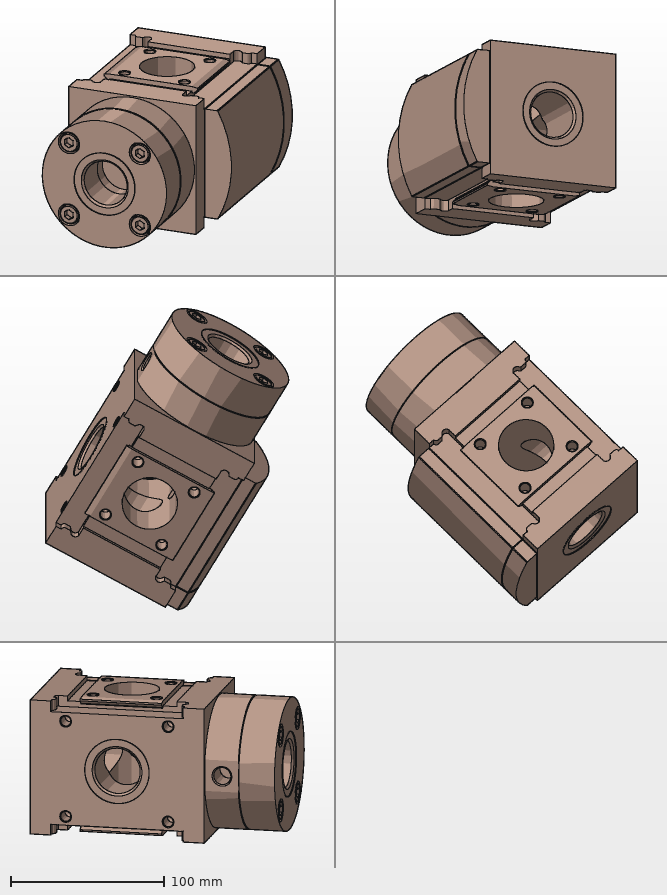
import cadquery as cq
import math

BLOCK_SIZE = 90.0
HALF_BLOCK = BLOCK_SIZE / 2
BLOCK_BACK = 57.9
BLOCK_FRONT = -58.4

CROSS_BORE_DIAMETER = 36.0
PORT_DIAMETER = 30.3
PORT_MOUTH_DIAMETER = 33.3
PORT_RING_DIAMETER = 43.0
PORT_RING_DEPTH = 0.7
SIDE_PASSAGE_DIAMETER = 11.4
FRONT_PORT_DEPTH = 32.6

ROUND_DIAMETER = 88.0
OVERALL_FRONT = -105.1
FLANGE_LENGTH = 24.0
NECK_FRONT = OVERALL_FRONT + FLANGE_LENGTH
NECK_CHAMFER = 0.5
FLAT_WIDTH = 21.0
FLAT_X = -math.sqrt((ROUND_DIAMETER / 2) ** 2 - (FLAT_WIDTH / 2) ** 2)
GAUGE_PORT_DIAMETER = 11.4
GAUGE_PORT_MOUTH_DIAMETER = 13.2
GAUGE_PORT_DEPTH = 19.5
GAUGE_PORT_Y = (BLOCK_FRONT + NECK_FRONT) / 2

SCREW_OFFSET = 25.1
SCREW_POCKET_DIAMETER = 15.0
SCREW_POCKET_DEPTH = 6.5
SCREW_HEAD_DIAMETER = 13.0
SCREW_HEAD_CHAMFER = 0.7
SOCKET_ACROSS_FLATS = 6.0
SOCKET_DEPTH = 4.0
HEXAGON_SIDES = 6
HEXAGON_TURN = 30.0

TAP_DIAMETER = 6.7
TAP_MOUTH_DIAMETER = 7.8
TAP_DEPTH = 13.0
TAP_TIP_HEIGHT = 2.0
TOP_TAP_OFFSET = 21.2
SIDE_TAP_Y = 34.2
SIDE_TAP_Z = 32.0

SLOT_DEPTH = 7.2
SLOT_INNER_X = 29.0
SLOT_HALF_LENGTH = 44.3
SLOT_LAND_Y = 42.2
SLOT_LAND_START_X = 35.4
SLOT_SHOULDER_X = 41.0
SLOT_LOBE_Y = 44.8
SLOT_LOBE_START_Y = 42.7
SLOT_LOBE_END_X = 34.5
SLOT_LOBE_END_Y = 43.2
RECESS_DEPTH = 3.3
RECESS_HALF_LENGTH = 36.5
PAD_HALF_LENGTH = 27.2
PAD_HALF_WIDTH = 33.1
PAD_FOOT_HALF_WIDTH = 31.0
PAD_SLOPE_DROP = 0.7
PAD_EDGE_DROP = 1.8
PAD_UNDERCUT_DROP = 3.9
PAD_FOOT_DROP = 4.4

COVER_GAP = 0.5
COVER_HALF_HEIGHT = 37.8
COVER_SHOULDER_X = 54.0
COVER_ARCH_X = 54.6
COVER_EDGE_DROP = 0.3
COVER_CROWN_X = 64.2
COVER_FRONT = -44.3
COVER_GROOVE_WIDTH = 0.5
COVER_GROOVE_DEPTH = 0.5


def round_bar(diameter, start, length, direction):
    """A cylinder from the point `start` along `direction`."""
    return cq.Workplane(cq.Solid.makeCylinder(
        diameter / 2, length, cq.Vector(*start), cq.Vector(*direction)))


def cone(large, small, start, length, direction):
    """A cone that tapers from diameter `large` at `start` to diameter `small`."""
    return cq.Workplane(cq.Solid.makeCone(
        large / 2, small / 2, length, cq.Vector(*start), cq.Vector(*direction)))


def chamfered_hole(diameter, mouth, start, depth, direction):
    """A hole with a 45 degree chamfer at its mouth, as a tool to cut."""
    chamfer_depth = (mouth - diameter) / 2
    hole = round_bar(diameter, start, depth, direction)
    return hole.union(cone(mouth, diameter, start, chamfer_depth, direction))


def port(start, depth, direction):
    """A main port: a chamfered bore inside a shallow sealing ring."""
    ring = round_bar(PORT_RING_DIAMETER, start, PORT_RING_DEPTH, direction)
    mouth = tuple(s + PORT_RING_DEPTH * d for s, d in zip(start, direction))
    bore = chamfered_hole(PORT_DIAMETER, PORT_MOUTH_DIAMETER, mouth, depth - PORT_RING_DEPTH, direction)
    return ring.union(bore)


def tapped_hole(start, direction):
    """A blind chamfered hole with a drill point."""
    hole = chamfered_hole(TAP_DIAMETER, TAP_MOUTH_DIAMETER, start, TAP_DEPTH, direction)
    bottom = tuple(s + TAP_DEPTH * d for s, d in zip(start, direction))
    return hole.union(cone(TAP_DIAMETER, 0, bottom, TAP_TIP_HEIGHT, direction))


def side_slot():
    """The tool for the slot along the +X edge of the top face."""
    lobe_x = (SLOT_INNER_X + SLOT_LOBE_END_X) / 2
    corner_radius = SLOT_HALF_LENGTH - SLOT_LAND_Y
    corner_x = SLOT_SHOULDER_X - corner_radius
    half_way = corner_radius * math.sqrt(0.5)
    half = (
        cq.Workplane("XY", origin=(0, 0, HALF_BLOCK - SLOT_DEPTH))
        .moveTo(SLOT_INNER_X, 0)
        .lineTo(SLOT_INNER_X, SLOT_LOBE_START_Y)
        .threePointArc((lobe_x, SLOT_LOBE_Y), (SLOT_LOBE_END_X, SLOT_LOBE_END_Y))
        .lineTo(SLOT_LAND_START_X, SLOT_LAND_Y)
        .lineTo(corner_x, SLOT_LAND_Y)
        .threePointArc(
            (corner_x + half_way, SLOT_HALF_LENGTH - half_way),
            (SLOT_SHOULDER_X, SLOT_HALF_LENGTH))
        .lineTo(HALF_BLOCK, SLOT_HALF_LENGTH)
        .lineTo(HALF_BLOCK, 0)
        .close()
        .extrude(SLOT_DEPTH)
    )
    return half.union(half.mirror("XZ"))


def pad():
    """The dovetail pad that stands in the recess and overhangs both side slots."""
    right_side = [
        (SLOT_INNER_X, HALF_BLOCK),
        (PAD_HALF_WIDTH, HALF_BLOCK - PAD_SLOPE_DROP),
        (PAD_HALF_WIDTH, HALF_BLOCK - PAD_EDGE_DROP),
        (PAD_FOOT_HALF_WIDTH, HALF_BLOCK - PAD_UNDERCUT_DROP),
        (PAD_FOOT_HALF_WIDTH, HALF_BLOCK - PAD_FOOT_DROP),
    ]
    left_side = [(-x, z) for x, z in reversed(right_side)]
    return (
        cq.Workplane("XZ", origin=(0, PAD_HALF_LENGTH, 0))
        .polyline(right_side + left_side)
        .close()
        .extrude(2 * PAD_HALF_LENGTH)
    )


def connector_cut():
    """Everything removed from the top face around the pad."""
    recess = cq.Workplane("XY").box(
        2 * SLOT_INNER_X, 2 * RECESS_HALF_LENGTH, RECESS_DEPTH
    ).translate((0, 0, HALF_BLOCK - RECESS_DEPTH / 2))
    slot = side_slot()
    return recess.union(slot).union(slot.mirror("YZ")).cut(pad())


def make_neck():
    """The round neck with its flat and a chamfered front rim."""
    length = BLOCK_FRONT - NECK_FRONT
    neck = round_bar(ROUND_DIAMETER, (0, BLOCK_FRONT, 0), length, (0, -1, 0))
    neck = neck.faces("<Y").chamfer(NECK_CHAMFER)
    beyond_flat = cq.Workplane("XY").box(
        ROUND_DIAMETER, length, ROUND_DIAMETER
    ).translate((FLAT_X - ROUND_DIAMETER / 2, GAUGE_PORT_Y, 0))
    return neck.cut(beyond_flat)


def make_housing():
    """The block with its neck, connector contours, bores and tapped holes."""
    block_length = BLOCK_BACK - BLOCK_FRONT
    housing = cq.Workplane("XY").box(BLOCK_SIZE, block_length, BLOCK_SIZE)
    housing = housing.translate((0, (BLOCK_BACK + BLOCK_FRONT) / 2, 0)).union(make_neck())

    top_cut = connector_cut()
    housing = housing.cut(top_cut).cut(top_cut.mirror("XY"))

    housing = housing.cut(round_bar(CROSS_BORE_DIAMETER, (0, 0, -HALF_BLOCK), BLOCK_SIZE, (0, 0, 1)))
    housing = housing.cut(port((-HALF_BLOCK, 0, 0), HALF_BLOCK, (1, 0, 0)))
    housing = housing.cut(port((0, BLOCK_BACK, 0), BLOCK_BACK, (0, -1, 0)))
    housing = housing.cut(round_bar(SIDE_PASSAGE_DIAMETER, (0, 0, 0), HALF_BLOCK, (1, 0, 0)))
    front_port_end = FRONT_PORT_DEPTH - FLANGE_LENGTH
    housing = housing.cut(round_bar(PORT_DIAMETER, (0, NECK_FRONT, 0), front_port_end, (0, 1, 0)))
    housing = housing.cut(chamfered_hole(
        GAUGE_PORT_DIAMETER, GAUGE_PORT_MOUTH_DIAMETER,
        (FLAT_X, GAUGE_PORT_Y, 0), GAUGE_PORT_DEPTH, (1, 0, 0)))

    for side_a in (-1, 1):
        for side_b in (-1, 1):
            housing = housing.cut(tapped_hole(
                (-HALF_BLOCK, side_a * SIDE_TAP_Y, side_b * SIDE_TAP_Z), (1, 0, 0)))
            for face in (-1, 1):
                housing = housing.cut(tapped_hole(
                    (side_a * TOP_TAP_OFFSET, side_b * TOP_TAP_OFFSET, face * HALF_BLOCK), (0, 0, -face)))
    return housing


def screw_head_cut():
    """Gap around one screw head and its hexagon socket, on the flange axis."""
    face = (0, OVERALL_FRONT, 0)
    head = round_bar(SCREW_HEAD_DIAMETER, face, SCREW_POCKET_DEPTH, (0, 1, 0))
    head = head.faces("<Y").chamfer(SCREW_HEAD_CHAMFER)
    gap = round_bar(SCREW_POCKET_DIAMETER, face, SCREW_POCKET_DEPTH, (0, 1, 0)).cut(head)
    across_corners = SOCKET_ACROSS_FLATS / math.cos(math.pi / HEXAGON_SIDES)
    socket = (
        cq.Workplane("XZ", origin=face)
        .transformed(rotate=(0, 0, HEXAGON_TURN))
        .polygon(HEXAGON_SIDES, across_corners)
        .extrude(-SOCKET_DEPTH)
    )
    return gap.union(socket)


def make_flange():
    """The round front flange with its port and four sunk screw heads."""
    flange = round_bar(ROUND_DIAMETER, (0, OVERALL_FRONT, 0), FLANGE_LENGTH, (0, 1, 0))
    flange = flange.cut(port((0, OVERALL_FRONT, 0), FLANGE_LENGTH, (0, 1, 0)))
    head_cut = screw_head_cut()
    for side_x in (-1, 1):
        for side_z in (-1, 1):
            flange = flange.cut(head_cut.translate((side_x * SCREW_OFFSET, 0, side_z * SCREW_OFFSET)))
    return flange


def cover_slab(inset, back, front):
    """The cover's arched section, pulled in by `inset` all round, between two Y positions."""
    half_height = COVER_HALF_HEIGHT - inset
    arch_height = half_height - COVER_EDGE_DROP
    return (
        cq.Workplane("XZ", origin=(0, back, 0))
        .moveTo(HALF_BLOCK + COVER_GAP, -half_height)
        .lineTo(COVER_SHOULDER_X - inset, -half_height)
        .lineTo(COVER_ARCH_X - inset, -arch_height)
        .threePointArc((COVER_CROWN_X - inset, 0), (COVER_ARCH_X - inset, arch_height))
        .lineTo(COVER_SHOULDER_X - inset, half_height)
        .lineTo(HALF_BLOCK + COVER_GAP, half_height)
        .close()
        .extrude(back - front)
    )


def make_cover():
    """The arched cover with a thin groove across it and an inset foot."""
    groove_back = SLOT_HALF_LENGTH
    groove_front = groove_back - COVER_GROOVE_WIDTH
    cover = cover_slab(0, BLOCK_BACK, groove_back)
    cover = cover.union(cover_slab(COVER_GROOVE_DEPTH, groove_back, groove_front))
    cover = cover.union(cover_slab(0, groove_front, COVER_FRONT))
    foot = cq.Workplane("XY").box(
        COVER_GAP,
        BLOCK_BACK - COVER_FRONT - 2 * COVER_GAP,
        2 * (COVER_HALF_HEIGHT - COVER_GAP),
    ).translate((HALF_BLOCK + COVER_GAP / 2, (BLOCK_BACK + COVER_FRONT) / 2, 0))
    return cover.union(foot)


housing = make_housing()
flange = make_flange()
cover = make_cover()

result = cq.Compound.makeCompound([housing.solids().val(), flange.solids().val(), cover.solids().val()])